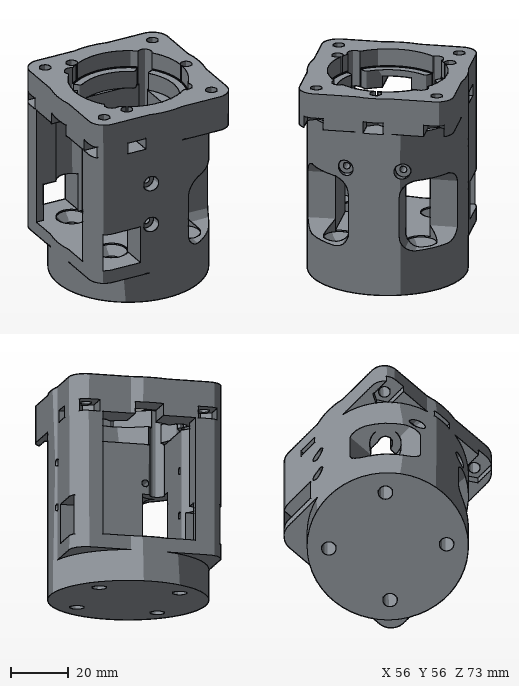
import cadquery as cq
import math

HEIGHT = 73.0
BODY_RADIUS = 56.0 / 2
SQUARE_SIDE = 54.45
SQUARE_CORNER = 6.0
SQUARE_BOTTOM = 11.0
FLANGE_BOTTOM = 59.85

FLOOR = 16.0
CAVITY_HALF_WIDTH = 16.7
CAVITY_BACK = 13.8

BORE_RADIUS = 20.95
BORE_STEP_RADIUS = 20.7
BORE_STEP_TOP = 66.8
LIP_TOP = 66.4
LIP_RADIUS = 17.95
LIP_GAP_HALF = 2.8
LIP_GAP_REAR_HALF = 2.05

LONG_HOLE_OFFSET = 14.45
LONG_HOLE_RADIUS = 5.05 / 2
SINK_RADIUS = 5.5
SINK_DEPTH = SINK_RADIUS - LONG_HOLE_RADIUS
SINK_RIM = 0.5
EDGE_ROUND = 1.0

FLANGE_HOLE_RADIUS = 4.0 / 2
CORNER_HOLE_OFFSET = 21.25
RING_HOLE_RADIUS = 22.9
NUT_WIDTH = 7.1
NUT_HEIGHT = 4.15
CABLE_SLOT_WIDTH = 10.2

WINDOW_HEIGHT = 14.0
WINDOW_FRONT = -24.4
WINDOW_BACK = -10.1
OPENING_HEIGHT = 26.0
OPENING_FRONT = 9.3
OPENING_SIDE = LONG_HOLE_OFFSET - SINK_RADIUS
OPENING_ROUND = 5.85
CROSS_HOLE_RADIUS = 2.4 / 2
CROSS_SINK_RADIUS = 2.8
CROSS_SINK_FLOOR = 24.0
REAR_CROSS_X = 10.0
SIDE_CROSS_Y = -6.0
UPPER_CROSS_Z = 45.9
LOWER_CROSS_Z = 29.9

REACH = 43.8
REAR_RIGHT = 45
REAR_LEFT = 135
DIAGONALS = [REAR_RIGHT, REAR_LEFT, 225, 315]


def block(x0, x1, y0, y1, z0, z1):
    """Box given by its limits along each axis."""
    return cq.Workplane("XY").box(x1 - x0, y1 - y0, z1 - z0, centered=False).translate((x0, y0, z0))


def rod(radius, z0, z1, x=0.0, y=0.0):
    """Vertical cylinder between two heights."""
    return cq.Workplane("XY").workplane(offset=z0).center(x, y).circle(radius).extrude(z1 - z0)


def outer_body():
    """Cylinder with a square flange and a square front half."""
    half = SQUARE_SIDE / 2
    square = block(-half, half, -half, half, SQUARE_BOTTOM, HEIGHT)
    square = square.edges("|Z").fillet(SQUARE_CORNER)
    square = square.cut(block(-REACH, REACH, 0, REACH, 0, FLANGE_BOTTOM))
    return rod(BODY_RADIUS, 0, HEIGHT).union(square)


def long_hole_clearance(radius, x_side, y_side, z0, z1):
    return rod(radius, z0, z1, x_side * LONG_HOLE_OFFSET, y_side * LONG_HOLE_OFFSET)


def wall_break(radius, wall):
    """Distance from the axis to where a clearance of this radius breaks into a wall at the given offset."""
    return LONG_HOLE_OFFSET - math.sqrt(radius**2 - (wall - LONG_HOLE_OFFSET) ** 2)


def cavity():
    """Box open to the front, widened round the long screws by rounded clearances."""
    room = block(-CAVITY_HALF_WIDTH, CAVITY_HALF_WIDTH, -REACH, CAVITY_BACK, FLOOR, FLANGE_BOTTOM)
    corners = []
    for side in (-1, 1):
        room = room.union(long_hole_clearance(SINK_RADIUS, side, -1, FLOOR, FLANGE_BOTTOM))
        room = room.union(long_hole_clearance(LONG_HOLE_RADIUS, side, 1, FLOOR, FLANGE_BOTTOM))
        corners.append((side * CAVITY_HALF_WIDTH, -wall_break(SINK_RADIUS, CAVITY_HALF_WIDTH)))
        corners.append((side * wall_break(LONG_HOLE_RADIUS, CAVITY_BACK), CAVITY_BACK))
    rounded = []
    for edge in room.edges("|Z").vals():
        spot = edge.Center()
        if any(math.hypot(spot.x - x, spot.y - y) < EDGE_ROUND / 2 for x, y in corners):
            rounded.append(edge)
    room = room.newObject(rounded).fillet(EDGE_ROUND)
    for side in (-1, 1):
        room = room.union(long_hole_clearance(SINK_RADIUS, side, 1, FLOOR, FLOOR + OPENING_HEIGHT))
    return room


def lip_opening():
    """Opening inside the lip with diagonal gaps, narrower and sharp next to the back wall."""
    opening = rod(LIP_RADIUS, FLANGE_BOTTOM, LIP_TOP)
    for angle in DIAGONALS:
        right = LIP_GAP_REAR_HALF if angle == REAR_LEFT else LIP_GAP_HALF
        left = LIP_GAP_REAR_HALF if angle == REAR_RIGHT else LIP_GAP_HALF
        gap = block(0, REACH, -right, left, FLANGE_BOTTOM, LIP_TOP)
        opening = opening.union(gap.rotate((0, 0, 0), (0, 0, 1), angle))
    opening = opening.intersect(rod(BORE_STEP_RADIUS, FLANGE_BOTTOM, LIP_TOP))
    middle_radius = (LIP_RADIUS + BORE_STEP_RADIUS) / 2
    rounded = []
    for edge in opening.edges("|Z").vals():
        spot = edge.Center()
        beside_back_wall = spot.y > abs(spot.x)
        if math.hypot(spot.x, spot.y) < middle_radius and not beside_back_wall:
            rounded.append(edge)
    return opening.newObject(rounded).fillet(EDGE_ROUND)


def bore():
    upper = rod(BORE_RADIUS, BORE_STEP_TOP, HEIGHT)
    return upper.union(rod(BORE_STEP_RADIUS, LIP_TOP, BORE_STEP_TOP)).union(lip_opening())


def long_screw_hole(angle):
    """Full-height hole with a countersink in the floor."""
    pitch = LONG_HOLE_OFFSET * math.sqrt(2)
    hole = rod(LONG_HOLE_RADIUS, 0, HEIGHT, pitch)
    rim_bottom = FLOOR - SINK_RIM
    cone_base = cq.Vector(pitch, 0, rim_bottom - SINK_DEPTH)
    cone = cq.Workplane(cq.Solid.makeCone(LONG_HOLE_RADIUS, SINK_RADIUS, SINK_DEPTH, cone_base))
    sink = cone.union(rod(SINK_RADIUS, rim_bottom, FLOOR, pitch))
    return hole.union(sink).rotate((0, 0, 0), (0, 0, 1), angle)


def nut_slot(x, y, angle):
    """Slot open to the outside along the given direction, ending in half a hexagon."""
    half = NUT_WIDTH / 2
    shoulder = -half * math.tan(math.pi / 6)
    tip = -NUT_WIDTH / math.sqrt(3)
    outline = [(REACH, -half), (REACH, half), (shoulder, half), (tip, 0), (shoulder, -half)]
    slot = cq.Workplane("XY").polyline(outline).close().extrude(NUT_HEIGHT)
    return slot.rotate((0, 0, 0), (0, 0, 1), angle).translate((x, y, FLANGE_BOTTOM))


def flange_hole(x, y, slot_angle):
    """Screw hole through the flange together with its nut slot."""
    return rod(FLANGE_HOLE_RADIUS, FLANGE_BOTTOM, HEIGHT, x, y).union(nut_slot(x, y, slot_angle))


def rear_opening():
    """Corner opening on the -X +Y side with rounded upper and lower edges."""
    opening = block(-REACH, -OPENING_SIDE, OPENING_FRONT, REACH, FLOOR, FLOOR + OPENING_HEIGHT)
    return opening.faces(">X or <Y").edges("|X or |Y").fillet(OPENING_ROUND)


def rear_cross_hole(x):
    hole = cq.Workplane("XZ").center(x, UPPER_CROSS_Z).circle(CROSS_HOLE_RADIUS).extrude(-REACH)
    sink = cq.Workplane("XZ", origin=(0, CROSS_SINK_FLOOR, 0)).center(x, UPPER_CROSS_Z)
    return hole.union(sink.circle(CROSS_SINK_RADIUS).extrude(-REACH))


def side_cross_hole(z):
    hole = cq.Workplane("YZ").center(SIDE_CROSS_Y, z).circle(CROSS_HOLE_RADIUS).extrude(REACH, both=True)
    sink = cq.Workplane("YZ", origin=(CROSS_SINK_FLOOR, 0, 0)).center(SIDE_CROSS_Y, z)
    return hole.union(sink.circle(CROSS_SINK_RADIUS).extrude(REACH))


result = outer_body().cut(cavity()).cut(bore())

for diagonal in DIAGONALS:
    result = result.cut(long_screw_hole(diagonal))

for x in (-CORNER_HOLE_OFFSET, CORNER_HOLE_OFFSET):
    for y, direction in ((-CORNER_HOLE_OFFSET, -90), (CORNER_HOLE_OFFSET, 90)):
        result = result.cut(flange_hole(x, y, direction))

for angle, direction in ((90, 90), (210, 180), (330, 0)):
    x = RING_HOLE_RADIUS * math.cos(math.radians(angle))
    y = RING_HOLE_RADIUS * math.sin(math.radians(angle))
    result = result.cut(flange_hole(x, y, direction))

result = result.cut(
    block(-CABLE_SLOT_WIDTH / 2, CABLE_SLOT_WIDTH / 2, -REACH, 0, FLANGE_BOTTOM, FLANGE_BOTTOM + NUT_HEIGHT)
)

result = result.cut(block(-REACH, REACH, WINDOW_FRONT, WINDOW_BACK, FLOOR, FLOOR + WINDOW_HEIGHT))

opening = rear_opening()
result = result.cut(opening).cut(opening.mirror("YZ"))

for x in (-REAR_CROSS_X, REAR_CROSS_X):
    result = result.cut(rear_cross_hole(x))
for z in (LOWER_CROSS_Z, UPPER_CROSS_Z):
    result = result.cut(side_cross_hole(z))